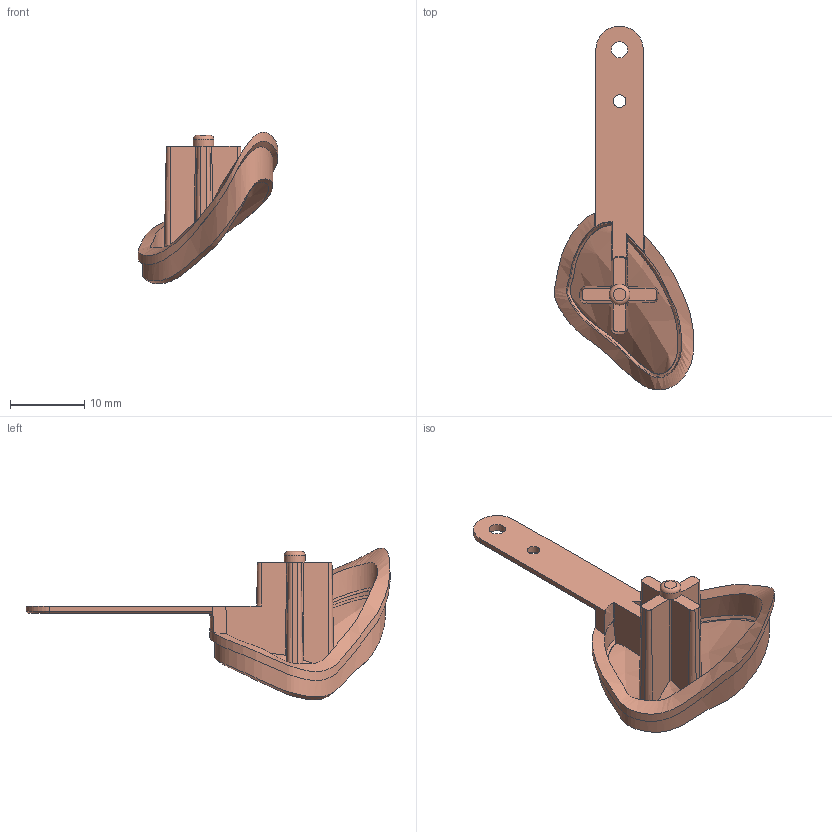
import cadquery as cq
import math

STATIONS = [
    (-1.2, 11.4, 9.6, 9.5, 5.7, 6.1),
    (-4.2, 10.5, 8.8, 8.9, 5.1, 5.5),
    (-6.5, 8.0, 7.7, 7.9, 4.1, 4.5),
    (-7.9, 4.9, 6.45, 6.9, 2.75, 3.5),
    (-8.4, 2.5, 5.35, 5.7, 1.7, 2.3),
    (-8.78, 0.3, 4.5, 5.0, 1.0, 1.5),
    (-7.9, -2.1, 3.9, 4.9, 0.55, 1.3),
    (-6.0, -4.5, 4.15, 5.15, 0.55, 1.5),
    (-3.6, -6.45, 5.7, 7.0, 1.7, 2.8),
    (-1.3, -8.3, 8.0, 9.15, 3.7, 4.9),
    (0.9, -10.5, 10.8, 12.6, 5.6, 7.3),
    (2.9, -12.0, 13.5, 15.4, 8.0, 10.0),
    (5.3, -12.8, 18.0, 17.3, 11.0, 13.2),
    (7.8, -11.9, 20.4, 18.4, 13.9, 14.6),
    (9.5, -9.5, 19.5, 18.2, 14.0, 14.4),
    (9.97, -6.3, 18.0, 17.4, 13.2, 13.6),
    (9.6, -3.0, 16.7, 16.0, 12.1, 12.3),
    (8.4, 0.4, 15.0, 14.4, 10.7, 11.0),
    (6.7, 3.7, 13.3, 12.8, 9.2, 9.4),
    (4.5, 6.7, 11.8, 11.4, 7.6, 8.0),
    (1.8, 9.7, 10.6, 10.4, 6.3, 7.0),
]
PLAN = [station[:2] for station in STATIONS]
RIM_OUTER = [station[2] for station in STATIONS]
RIM_INNER = [station[3] for station in STATIONS]
WALL_FOOT = [station[4] for station in STATIONS]
FLOOR = [station[5] for station in STATIONS]

RIM_WIDTH = 1.65
LIP_HEIGHT = 1.2
LIP_OVERHANG = 0.65
CAVITY_DRAFT = 0.15
FLOOR_BEVEL_WIDTH = 0.35
FLOOR_BEVEL_HEIGHT = 0.4
FOOT_BEVEL_WIDTH = 0.6
FOOT_BEVEL_HEIGHT = 0.4

STRAP_WIDTH = 6.36
STRAP_TOP = 12.65
STRAP_THICKNESS = 1.0
STRAP_EDGE_BEVEL = 0.3
STRAP_FILLET = 0.5
STRAP_START_Y = 4.0
STRAP_END_Y = 36.08
END_HOLE_DIAMETER = 2.2
SMALL_HOLE_DIAMETER = 1.7
SMALL_HOLE_Y = 26.0

ROOT_FOOT_WIDTH = 6.8
ROOT_FOOT_Z = 9.6
ROOT_FOOT_SLOPE = 0.4

POST_TOP = 18.55
ARM_LENGTH = 5.0
ARM_THICKNESS = 1.7
ARM_CORNER_RADIUS = 0.5
POST_TAPER = 1.1
PIN_RADIUS = 1.4
PIN_TOP = 20.0
PIN_EDGE_RADIUS = 0.55
WEB_END_Y = 10.2

SINK = 0.4
SETBACK = 0.04


def inset(distance):
    """Plan of the rim's outer edge moved inwards by a distance."""
    moved = []
    for i, (x, y) in enumerate(PLAN):
        before = PLAN[i - 1]
        after = PLAN[(i + 1) % len(PLAN)]
        along_x = after[0] - before[0]
        along_y = after[1] - before[1]
        length = math.hypot(along_x, along_y)
        moved.append((x - distance * along_y / length, y + distance * along_x / length))
    return moved


def ring(distance, heights, shift=0.0):
    """Closed smooth edge at an inset from the rim's outer edge."""
    points = [cq.Vector(x, y, z + shift) for (x, y), z in zip(inset(distance), heights)]
    return cq.Edge.makeSpline(points, periodic=True)


def level_ring(distance, height):
    return ring(distance, [height] * len(PLAN))


def bands(edges):
    """Ruled faces joining each edge to the next one."""
    return [cq.Face.makeRuledSurface(a, b) for a, b in zip(edges, edges[1:])]


def filled(edge):
    return cq.Face.makeNSidedSurface([edge], [])


def closed_solid(faces):
    return cq.Solid.makeSolid(cq.Shell.makeShell(faces)).fix()


FLOOR_EDGE = ring(RIM_WIDTH + CAVITY_DRAFT + FLOOR_BEVEL_WIDTH, FLOOR)


def make_dish():
    overhang_share = LIP_OVERHANG / RIM_WIDTH
    lip_underside = [
        outer + overhang_share * (inner - outer) for outer, inner in zip(RIM_OUTER, RIM_INNER)
    ]
    foot = ring(LIP_OVERHANG + FOOT_BEVEL_WIDTH, WALL_FOOT, -FOOT_BEVEL_HEIGHT)
    edges = [
        foot,
        ring(LIP_OVERHANG, WALL_FOOT),
        ring(LIP_OVERHANG, lip_underside, -LIP_HEIGHT),
        ring(0, RIM_OUTER, -LIP_HEIGHT),
        ring(0, RIM_OUTER),
        ring(RIM_WIDTH, RIM_INNER),
        ring(RIM_WIDTH + CAVITY_DRAFT, FLOOR, FLOOR_BEVEL_HEIGHT),
        FLOOR_EDGE,
    ]
    return closed_solid([filled(foot)] + bands(edges) + [filled(FLOOR_EDGE)])


def make_space_above_floor():
    """Space above the cavity floor, flared into the wall, that trims the post to the floor."""
    lid = level_ring(0, PIN_TOP + SINK)
    lid_face = cq.Face.makeFromWires(cq.Wire.assembleEdges([lid]))
    space = closed_solid([filled(FLOOR_EDGE)] + bands([FLOOR_EDGE, lid]) + [lid_face])
    return space.translate(cq.Vector(0, 0, -SINK))


def make_arm(length, width):
    """Round-cornered bar that widens downwards from the top of the post."""
    return (
        cq.Workplane("XY", origin=(0, 0, POST_TOP))
        .sketch()
        .rect(length, width)
        .vertices()
        .fillet(ARM_CORNER_RADIUS)
        .finalize()
        .extrude(-POST_TOP, taper=-POST_TAPER)
    )


def make_web():
    """Lower part of the +Y arm, carried on into the strap root."""
    space = cq.Workplane("XY").box(STRAP_WIDTH, WEB_END_Y, STRAP_TOP, centered=(True, False, False))
    return make_arm(ARM_THICKNESS, 2 * WEB_END_Y).intersect(space)


def pin_circle():
    return cq.Workplane("XY", origin=(0, 0, POST_TOP)).circle(PIN_RADIUS)


def make_post():
    core = pin_circle().extrude(-POST_TOP, taper=-POST_TAPER)
    pin = pin_circle().extrude(PIN_TOP - POST_TOP).faces(">Z").edges().fillet(PIN_EDGE_RADIUS)
    arm_span = 2 * ARM_LENGTH
    cross = make_arm(arm_span, ARM_THICKNESS).union(make_arm(ARM_THICKNESS, arm_span))
    post = cross.union(core).union(make_web())
    return post.intersect(cq.Workplane(make_space_above_floor())).union(pin)


def plan_wire(distance):
    return cq.Wire.assembleEdges([level_ring(distance, 0)])


def make_root():
    """Rim wall raised to the top of the strap; its underside slopes with the rim it sinks into."""
    column = cq.Solid.extrudeLinear(
        plan_wire(SETBACK), [plan_wire(RIM_WIDTH - SETBACK)], cq.Vector(0, 0, STRAP_TOP)
    )
    top = STRAP_WIDTH / 2
    foot = ROOT_FOOT_WIDTH / 2
    window = (
        cq.Workplane("XZ")
        .polyline([
            (-top, STRAP_TOP),
            (-foot, ROOT_FOOT_Z - foot * ROOT_FOOT_SLOPE),
            (foot, ROOT_FOOT_Z + foot * ROOT_FOOT_SLOPE),
            (top, STRAP_TOP),
        ])
        .close()
        .extrude(-STRAP_END_Y)
    )
    return window.intersect(cq.Workplane(column))


def make_hole(y, diameter):
    return cq.Workplane("XY").center(0, y).circle(diameter / 2).extrude(STRAP_TOP)


def make_strap():
    half_width = STRAP_WIDTH / 2
    end_centre_y = STRAP_END_Y - half_width
    strap = (
        cq.Workplane("XY", origin=(0, 0, STRAP_TOP))
        .moveTo(-half_width, STRAP_START_Y)
        .lineTo(-half_width, end_centre_y)
        .threePointArc((0, STRAP_END_Y), (half_width, end_centre_y))
        .lineTo(half_width, STRAP_START_Y)
        .close()
        .extrude(-STRAP_THICKNESS)
        .faces("<Z").edges("not <Y").chamfer(STRAP_EDGE_BEVEL)
    )
    end_hole = make_hole(end_centre_y, END_HOLE_DIAMETER)
    small_hole = make_hole(SMALL_HOLE_Y, SMALL_HOLE_DIAMETER)
    cavity_column = cq.Solid.extrudeLinear(
        plan_wire(RIM_WIDTH - SETBACK), [], cq.Vector(0, 0, STRAP_TOP)
    )
    return strap.cut(end_hole).cut(small_hole).cut(cq.Workplane(cavity_column))


def make_strap_with_root():
    inner_corner = (0, max(y for _, y in PLAN), STRAP_TOP - STRAP_THICKNESS)
    joined = make_root().union(make_strap())
    return joined.edges(cq.selectors.NearestToPointSelector(inner_corner)).fillet(STRAP_FILLET)


dish = cq.Workplane(make_dish())
result = dish.union(make_strap_with_root()).union(make_post())